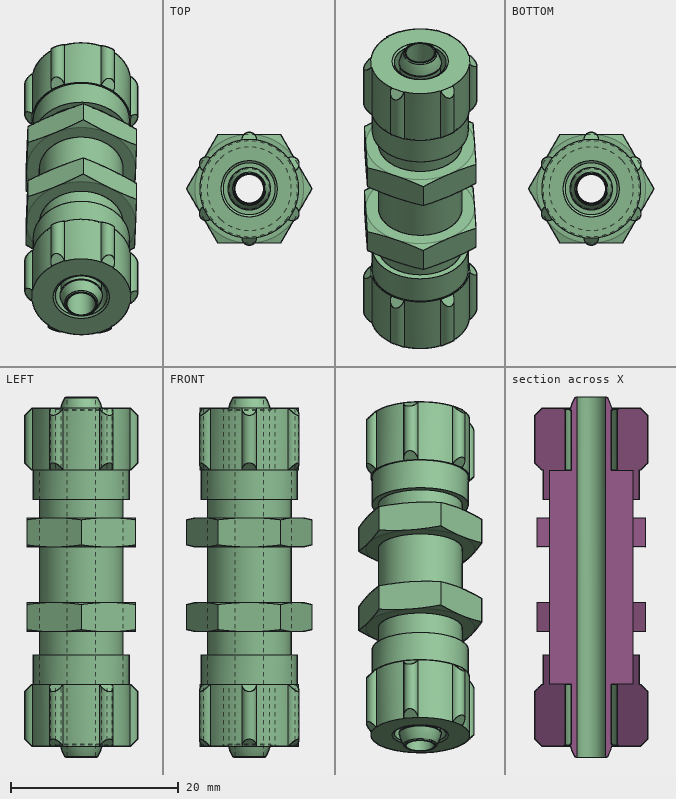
import cadquery as cq
import math

LENGTH = 43.0
HALF_LENGTH = LENGTH / 2

BARREL_DIA = 10.0
BORE_DIA = 3.4
NECK_DIA = 4.8
BARB_DIA = 5.07
BARB_LENGTH = 1.6
BARB_MID_DIA = 4.65
TIP_DIA = 3.95
TIP_CHAMFER = 0.15

GRIP_DIA = 11.8
COLLAR_DIA = 11.5
CAP_PROTRUSION = 1.35
GRIP_LENGTH = 7.4
COLLAR_LENGTH = 3.53
HOLE_DIA = 6.2
RIM_CHAMFER_WIDTH = 0.25
RIM_CHAMFER_DEPTH = 0.17
RIB_COUNT = 6
RIB_RADIUS = 0.85
CAP_OUTER_Z = HALF_LENGTH - CAP_PROTRUSION
GRIP_INNER_Z = CAP_OUTER_Z - GRIP_LENGTH
COLLAR_INNER_Z = GRIP_INNER_Z - COLLAR_LENGTH

NUT_ACROSS_FLATS = 13.0
NUT_ACROSS_CORNERS = NUT_ACROSS_FLATS / math.cos(math.pi / 6)
NUT_HEIGHT = 3.5
NUT_CHAMFER_ANGLE = 14.0
UPPER_NUT_BASE_Z = 3.6
LOWER_NUT_BASE_Z = -6.5


def make_upper_nozzle():
    """Neck rising from the barrel end to a barb whose curved back narrows to the tip."""
    barb_base_z = HALF_LENGTH - BARB_LENGTH
    barb_mid_z = HALF_LENGTH - BARB_LENGTH / 2
    return (
        cq.Workplane("XZ")
        .moveTo(0, GRIP_INNER_Z)
        .lineTo(NECK_DIA / 2, GRIP_INNER_Z)
        .lineTo(NECK_DIA / 2, barb_base_z)
        .lineTo(BARB_DIA / 2, barb_base_z)
        .threePointArc(
            (BARB_MID_DIA / 2, barb_mid_z),
            (TIP_DIA / 2, HALF_LENGTH - TIP_CHAMFER),
        )
        .lineTo(TIP_DIA / 2 - TIP_CHAMFER, HALF_LENGTH)
        .lineTo(0, HALF_LENGTH)
        .close()
        .revolve(360, (0, 0, 0), (0, 1, 0))
    )


def make_body():
    barrel = (
        cq.Workplane("XY", origin=(0, 0, -GRIP_INNER_Z))
        .circle(BARREL_DIA / 2)
        .extrude(2 * GRIP_INNER_Z)
    )
    bore = (
        cq.Workplane("XY", origin=(0, 0, -HALF_LENGTH))
        .circle(BORE_DIA / 2)
        .extrude(LENGTH)
    )
    nozzle = make_upper_nozzle()
    return barrel.union(nozzle).union(nozzle.mirror("XY")).cut(bore)


def make_rib():
    """Round-backed grip rib on the +Y side, its back sloping down to the grip at both ends."""
    grip_radius = GRIP_DIA / 2
    rib = (
        cq.Workplane("XY", origin=(0, grip_radius, GRIP_INNER_Z))
        .circle(RIB_RADIUS)
        .extrude(GRIP_LENGTH)
    )
    side_outline = (
        cq.Workplane("YZ")
        .moveTo(grip_radius - RIB_RADIUS, GRIP_INNER_Z)
        .lineTo(grip_radius, GRIP_INNER_Z)
        .lineTo(grip_radius + RIB_RADIUS, GRIP_INNER_Z + RIB_RADIUS)
        .lineTo(grip_radius + RIB_RADIUS, CAP_OUTER_Z - RIB_RADIUS)
        .lineTo(grip_radius, CAP_OUTER_Z)
        .lineTo(grip_radius - RIB_RADIUS, CAP_OUTER_Z)
        .close()
        .extrude(RIB_RADIUS, both=True)
    )
    return rib.intersect(side_outline)


def make_upper_cap():
    collar = (
        cq.Workplane("XY", origin=(0, 0, COLLAR_INNER_Z))
        .circle(COLLAR_DIA / 2)
        .extrude(COLLAR_LENGTH)
    )
    grip = (
        cq.Workplane("XY", origin=(0, 0, GRIP_INNER_Z))
        .circle(GRIP_DIA / 2)
        .extrude(GRIP_LENGTH)
    )
    cap = collar.union(grip)
    rib = make_rib()
    for i in range(RIB_COUNT):
        cap = cap.union(rib.rotate((0, 0, 0), (0, 0, 1), i * 360 / RIB_COUNT))

    barrel_socket = (
        cq.Workplane("XY", origin=(0, 0, COLLAR_INNER_Z))
        .circle(BARREL_DIA / 2)
        .extrude(COLLAR_LENGTH)
    )
    hole = (
        cq.Workplane("XY", origin=(0, 0, GRIP_INNER_Z))
        .circle(HOLE_DIA / 2)
        .extrude(GRIP_LENGTH)
    )
    rim_chamfer_angle = math.degrees(math.atan2(RIM_CHAMFER_WIDTH, RIM_CHAMFER_DEPTH))
    rim_chamfer = (
        cq.Workplane("XY", origin=(0, 0, CAP_OUTER_Z))
        .circle(HOLE_DIA / 2 + RIM_CHAMFER_WIDTH)
        .extrude(-RIM_CHAMFER_DEPTH, taper=rim_chamfer_angle)
    )
    return cap.cut(barrel_socket).cut(hole).cut(rim_chamfer)


def make_nut(base_z):
    """Hex nut with corners along X, both faces turned down conically to the flats' circle."""
    face_radius = NUT_ACROSS_FLATS / 2
    corner_radius = NUT_ACROSS_CORNERS / 2
    chamfer_drop = (corner_radius - face_radius) * math.tan(math.radians(NUT_CHAMFER_ANGLE))
    hexagon = cq.Workplane("XY").polygon(6, NUT_ACROSS_CORNERS).extrude(NUT_HEIGHT)
    turned_blank = (
        cq.Workplane("XZ")
        .moveTo(BARREL_DIA / 2, 0)
        .lineTo(face_radius, 0)
        .lineTo(corner_radius, chamfer_drop)
        .lineTo(corner_radius, NUT_HEIGHT - chamfer_drop)
        .lineTo(face_radius, NUT_HEIGHT)
        .lineTo(BARREL_DIA / 2, NUT_HEIGHT)
        .close()
        .revolve(360, (0, 0, 0), (0, 1, 0))
    )
    return hexagon.intersect(turned_blank).translate((0, 0, base_z))


body = make_body()
upper_cap = make_upper_cap()
caps = [upper_cap, upper_cap.mirror("XY")]
nuts = [make_nut(base_z) for base_z in (UPPER_NUT_BASE_Z, LOWER_NUT_BASE_Z)]

result = cq.Compound.makeCompound([body.val(), *[part.val() for part in caps + nuts]])